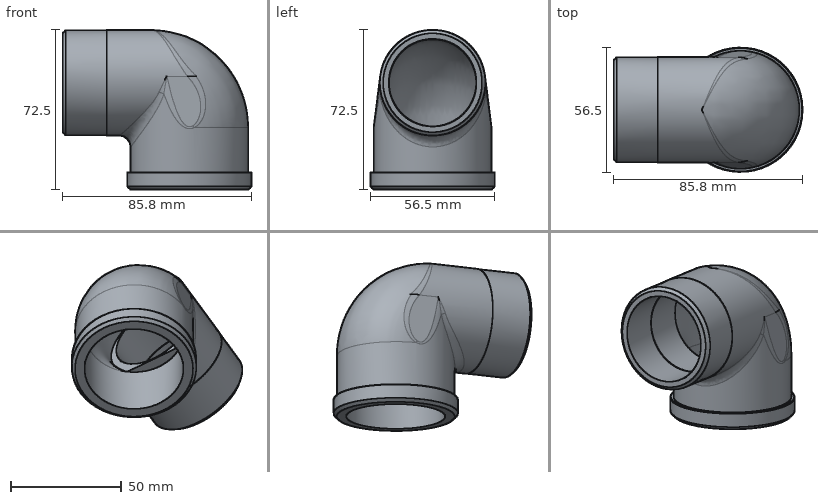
import cadquery as cq
import math

SOCKET_DIAMETER = 53.5
SOCKET_BORE = 44.84
COLLAR_DIAMETER = 56.5
COLLAR_HEIGHT = 8.0
COLLAR_LOWER_CHAMFER = 1.5
COLLAR_UPPER_CHAMFER = 0.3

SPIGOT_REACH = 57.5
SPIGOT_AXIS_HEIGHT = 48.5
SPIGOT_DIAMETER = 48.0
SPIGOT_BORE = 39.5
SPIGOT_MOUTH_BORE = 39.8
BORE_OVERLAP = 2.5
SPIGOT_END_DIAMETER = 47.8
SPIGOT_END_LENGTH = 20.0
SPIGOT_CHAMFER = 1.48

BEND_OFFSET = 17.5
NECK_FILLET = 5.0
EDGE_FILLET = 7.0
EDGE_OVERRUN = 2.5
CUT_MARGIN = 5.0
SELECT_MARGIN = 1.0

socket_radius = SOCKET_DIAMETER / 2
spigot_radius = SPIGOT_DIAMETER / 2
crown_height = SPIGOT_AXIS_HEIGHT + spigot_radius
bend_height = crown_height - socket_radius - BEND_OFFSET
spigot_end_x = SPIGOT_END_LENGTH - SPIGOT_REACH
cut_width = COLLAR_DIAMETER + 2 * CUT_MARGIN
cut_top = crown_height + CUT_MARGIN

flat_rise = SPIGOT_AXIS_HEIGHT - bend_height
flat_angle = math.acos(spigot_radius / math.hypot(socket_radius, flat_rise)) - math.atan2(
    flat_rise, socket_radius
)
tangent_height = SPIGOT_AXIS_HEIGHT + spigot_radius * math.sin(flat_angle)


def rod_z(diameter, bottom, top):
    return cq.Workplane("XY", origin=(0, 0, bottom)).circle(diameter / 2).extrude(top - bottom)


def rod_x(diameter, start, end):
    plane = cq.Workplane("YZ", origin=(start, 0, SPIGOT_AXIS_HEIGHT))
    return plane.circle(diameter / 2).extrude(end - start)


def bend_quarter(diameter):
    """A disc about the socket axis, trimmed at the bend axis and swung a quarter turn about it."""
    radius = diameter / 2
    trim_half_width = math.sqrt(radius**2 - BEND_OFFSET**2)
    return (
        cq.Workplane("XY", origin=(0, 0, bend_height))
        .moveTo(-BEND_OFFSET, -trim_half_width)
        .threePointArc((radius, 0), (-BEND_OFFSET, trim_half_width))
        .close()
        .revolve(90, (-BEND_OFFSET, 1, 0), (-BEND_OFFSET, 0, 0))
    )


def bend_trim():
    """The space around the outside of the rounded bend."""
    far_x = socket_radius + CUT_MARGIN
    block = (
        cq.Workplane("XZ", origin=(0, cut_width / 2, 0))
        .moveTo(0, bend_height)
        .lineTo(far_x, bend_height)
        .lineTo(far_x, cut_top)
        .lineTo(-BEND_OFFSET, cut_top)
        .lineTo(-BEND_OFFSET, bend_height + BEND_OFFSET)
        .close()
        .extrude(cut_width)
    )
    return block.cut(bend_quarter(SOCKET_DIAMETER))


def flat_cutter(side):
    """Everything outside one leaning side flat; side is +1 or -1 along Y."""
    slope = math.tan(flat_angle)
    foot_y = socket_radius + bend_height * slope
    top_y = foot_y - cut_top * slope
    outer_y = foot_y + CUT_MARGIN
    return (
        cq.Workplane("YZ", origin=(-cut_width / 2, 0, 0))
        .moveTo(side * foot_y, 0)
        .lineTo(side * top_y, cut_top)
        .lineTo(side * outer_y, cut_top)
        .lineTo(side * outer_y, 0)
        .close()
        .extrude(cut_width)
    )


def make_socket(trim):
    """Upright pipe with the bend on its back and a round-edged flat on each side."""
    socket = rod_z(SOCKET_DIAMETER, 0, tangent_height + EDGE_OVERRUN).cut(trim)
    for side in (1, -1):
        socket = socket.cut(flat_cutter(side))
    flat_edges = socket.faces("%PLANE and (not |Z)").edges("not |X")
    socket = socket.newObject(flat_edges.vals()).fillet(EDGE_FILLET)
    below_tangent = cq.Workplane("XY").rect(cut_width, cut_width).extrude(tangent_height)
    return socket.intersect(below_tangent)


def space_under_cap(top):
    """Block on the bend side of the socket axis, from the ground up to the given height."""
    return cq.Workplane("XY", origin=(cut_width / 2, 0, 0)).rect(cut_width, cut_width).extrude(top)


def make_spigot(trim):
    """Horizontal pipe; beyond the socket axis only the cap above the tangent lines is kept."""
    spigot = rod_x(SPIGOT_DIAMETER, -SPIGOT_REACH, socket_radius)
    spigot = spigot.cut(space_under_cap(tangent_height - EDGE_OVERRUN)).cut(trim)
    bend_seams = cq.selectors.BoxSelector(
        (-BEND_OFFSET - SELECT_MARGIN, -spigot_radius, tangent_height + SELECT_MARGIN),
        (socket_radius, spigot_radius, crown_height),
    )
    spigot = spigot.edges(bend_seams).fillet(EDGE_FILLET)
    return spigot.cut(space_under_cap(tangent_height))


def join_with_neck(socket, spigot):
    """Unite both pipes and round the inner corner where the spigot leaves the socket."""
    below_axis = cq.selectors.BoxSelector(
        (-socket_radius - SELECT_MARGIN, -spigot_radius - SELECT_MARGIN, 0),
        (-SELECT_MARGIN, spigot_radius + SELECT_MARGIN, SPIGOT_AXIS_HEIGHT - SELECT_MARGIN),
        boundingbox=True,
    )
    return socket.union(spigot).edges(below_axis).fillet(NECK_FILLET)


def turn_down_spigot_end(body):
    """Reduce the last stretch of the spigot and chamfer its mouth."""
    end = rod_x(SPIGOT_END_DIAMETER, -SPIGOT_REACH, spigot_end_x).faces("<X").chamfer(SPIGOT_CHAMFER)
    blank = rod_x(SPIGOT_DIAMETER + CUT_MARGIN, -SPIGOT_REACH - CUT_MARGIN, spigot_end_x)
    return body.cut(blank.cut(end))


def make_collar():
    collar = rod_z(COLLAR_DIAMETER, 0, COLLAR_HEIGHT)
    collar = collar.faces("<Z").chamfer(COLLAR_LOWER_CHAMFER)
    return collar.faces(">Z").chamfer(COLLAR_UPPER_CHAMFER)


def make_passage():
    """Through passage: socket bore, rounded bend and stepped spigot bore."""
    upright = rod_z(SOCKET_BORE, 0, bend_height)
    level = rod_x(SPIGOT_BORE, -SPIGOT_REACH, BORE_OVERLAP - BEND_OFFSET)
    mouth = rod_x(SPIGOT_MOUTH_BORE, -SPIGOT_REACH, spigot_end_x)
    return upright.union(bend_quarter(SOCKET_BORE)).union(level).union(mouth)


outer_trim = bend_trim()
elbow = join_with_neck(make_socket(outer_trim), make_spigot(outer_trim))
elbow = turn_down_spigot_end(elbow)
result = elbow.union(make_collar()).cut(make_passage())